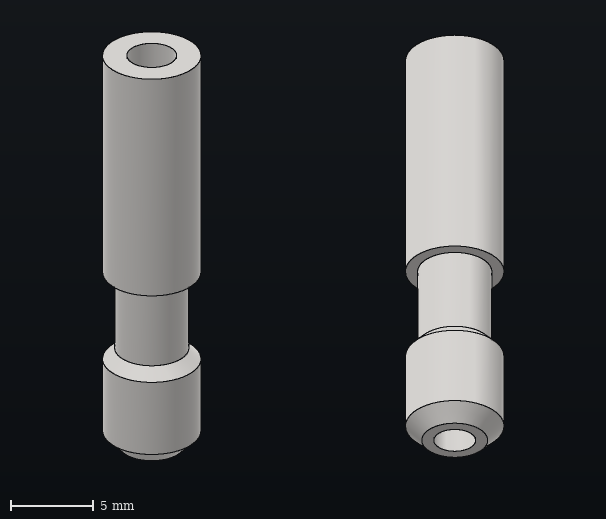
import cadquery as cq
import math

total_height = 27.0
outer_radius = 3.0

neck_diameter = 4.5
neck_radius = neck_diameter / 2
barrel_length = 15.0
shoulder_height = outer_radius - neck_radius
collar_length = 5.0
tip_chamfer = 1.0

bore_radius = 1.5
through_radius = 1.27
drill_point_angle = 118
step_height = (bore_radius - through_radius) / math.tan(math.radians(drill_point_angle / 2))

collar_top = tip_chamfer + collar_length
neck_bottom = collar_top + shoulder_height
barrel_bottom = total_height - barrel_length


def revolved_body():
    """Solid pin turned from its half profile (radius, height)."""
    return (
        cq.Workplane("XZ")
        .moveTo(0, 0)
        .lineTo(outer_radius - tip_chamfer, 0)
        .lineTo(outer_radius, tip_chamfer)
        .lineTo(outer_radius, collar_top)
        .lineTo(neck_radius, neck_bottom)
        .lineTo(neck_radius, barrel_bottom)
        .lineTo(outer_radius, barrel_bottom)
        .lineTo(outer_radius, total_height)
        .lineTo(0, total_height)
        .close()
        .revolve(360, (0, 0, 0), (0, 1, 0))
    )


def stepped_bore():
    """Cutter for the bore, turned from its half profile (radius, height)."""
    return (
        cq.Workplane("XZ")
        .lineTo(through_radius, 0)
        .lineTo(through_radius, barrel_bottom - step_height)
        .lineTo(bore_radius, barrel_bottom)
        .lineTo(bore_radius, total_height)
        .lineTo(0, total_height)
        .close()
        .revolve(360, (0, 0, 0), (0, 1, 0))
    )


result = revolved_body().cut(stepped_bore())